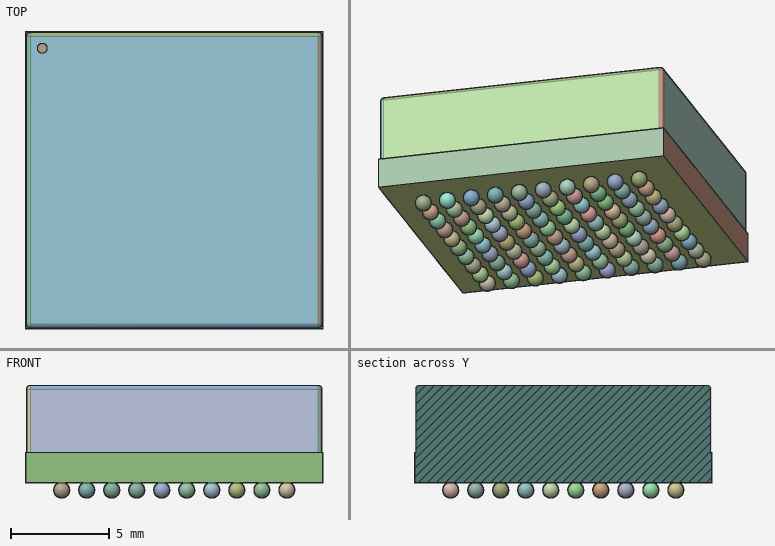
import cadquery as cq

substrate_side = 15.1
substrate_thickness = 1.54

lid_inset = 0.05
lid_height = 3.41
lid_edge_radius = 0.2

marker_diameter = 0.5
marker_depth = 0.03
marker_edge_distance = 0.85

balls_per_side = 10
ball_pitch = 1.27
ball_diameter = 0.82
ball_standoff = 0.78

lid_side = substrate_side - 2 * lid_inset
lid_top = substrate_thickness + lid_height
marker_offset = substrate_side / 2 - marker_edge_distance
ball_radius = ball_diameter / 2
ball_center_z = ball_radius - ball_standoff


def make_substrate():
    """Plain square board."""
    return cq.Workplane("XY").rect(substrate_side, substrate_side).extrude(substrate_thickness)


def make_lid():
    """Square lid with rounded vertical and top edges."""
    block = (
        cq.Workplane("XY", origin=(0, 0, substrate_thickness))
        .rect(lid_side, lid_side)
        .extrude(lid_height)
    )
    return block.edges("|Z or >Z").fillet(lid_edge_radius)


def make_marker():
    """Cutter for the pin-one dimple."""
    return (
        cq.Workplane("XY", origin=(-marker_offset, marker_offset, lid_top))
        .circle(marker_diameter / 2)
        .extrude(-marker_depth)
    )


def make_balls():
    """Square grid of solder balls, their tops embedded in the substrate."""
    return (
        cq.Workplane("XY", origin=(0, 0, ball_center_z))
        .rarray(ball_pitch, ball_pitch, balls_per_side, balls_per_side)
        .sphere(ball_radius, combine=False)
    )


package = make_substrate().union(make_lid()).cut(make_marker())
result = package.union(make_balls())